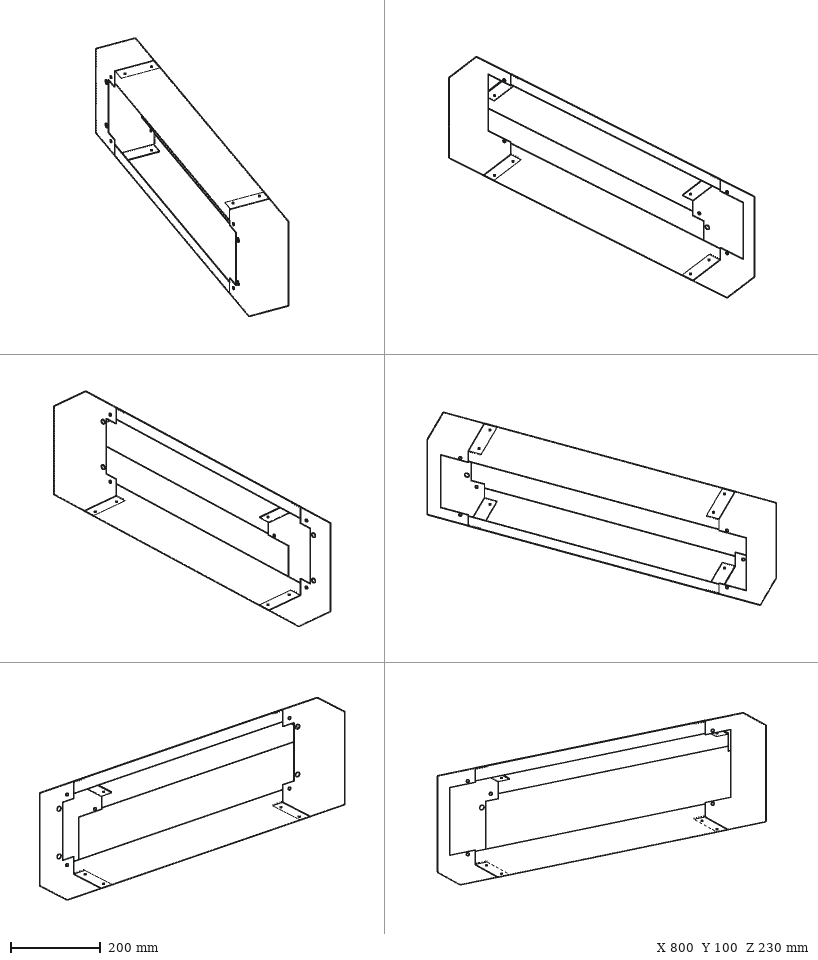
import cadquery as cq

LENGTH = 800.0
DEPTH = 100.0
HEIGHT = 230.0
SHEET = 2.0

END_LENGTH = 100.0
END_BEND = 3.6
FRONT_WALL_WIDTH = 68.0
FRONT_ARM_HEIGHT = 44.0
BACK_WALL_WIDTH = 34.0
BACK_ARM_HEIGHT = 35.0
ARM_HOLE_DIAMETER = 7.0
ARM_HOLE_FROM_END = 81.0
ARM_HOLE_FROM_EDGE = 29.0
WALL_HOLE_DIAMETER = 11.0
WALL_HOLE_FROM_END = 58.0
WALL_HOLE_FROM_EDGE = 57.0

RAIL_FLANGE = 32.0
RAIL_BEND = 2.8

SPLICE_THICKNESS = 2.0
SPLICE_FROM_END = 130.0
SPLICE_HOLE_DIAMETER = 5.0
SPLICE_HOLE_FROM_END = 119.0
SPLICE_HOLE_SPACING = 65.0

SIDES = (-1, 1)
half_length = LENGTH / 2
half_height = HEIGHT / 2
seam_x = half_length - END_LENGTH
inner_depth = DEPTH - 2 * SHEET


def box_between(x_range, y_range, z_range):
    """A block given by its lower and upper limits along each axis."""
    low, high = zip(x_range, y_range, z_range)
    sizes = [b - a for a, b in zip(low, high)]
    return cq.Workplane("XY").box(*sizes, centered=False).translate(low)


def about_zero(size):
    return (-size / 2, size / 2)


def mirrored_to(body, x_side, z_side):
    """Move a body built on the +X, +Z side to the chosen sides."""
    if x_side < 0:
        body = body.mirror("YZ")
    if z_side < 0:
        body = body.mirror("XY")
    return body


def end_window(wall_width, arm_height, y_range):
    """The opening in one large face of the end box, open towards the middle of the frame."""
    return box_between((seam_x, half_length - wall_width), y_range, about_zero(HEIGHT - 2 * arm_height))


def end_hole_pair(from_end, from_edge, diameter):
    """Two holes through both large faces, one near the top and one near the bottom."""
    x = half_length - from_end
    centres = [(x, side * (half_height - from_edge)) for side in SIDES]
    return cq.Workplane("XZ").pushPoints(centres).circle(diameter / 2).extrude(DEPTH, both=True)


def make_end_box(x_side):
    box = box_between((seam_x, half_length), about_zero(DEPTH), about_zero(HEIGHT))
    box = box.edges(">X or |X").fillet(END_BEND)
    inner_height = HEIGHT - 2 * SHEET
    cavity = box_between((seam_x, half_length - SHEET), about_zero(inner_depth), about_zero(inner_height))
    cavity = cavity.edges(">X or |X").fillet(END_BEND - SHEET)
    box = box.cut(cavity)
    box = box.cut(end_window(FRONT_WALL_WIDTH, FRONT_ARM_HEIGHT, (-DEPTH / 2, 0)))
    box = box.cut(end_window(BACK_WALL_WIDTH, BACK_ARM_HEIGHT, (0, DEPTH / 2)))
    box = box.cut(end_hole_pair(ARM_HOLE_FROM_END, ARM_HOLE_FROM_EDGE, ARM_HOLE_DIAMETER))
    box = box.cut(end_hole_pair(WALL_HOLE_FROM_END, WALL_HOLE_FROM_EDGE, WALL_HOLE_DIAMETER))
    return mirrored_to(box, x_side, 1)


def splice_holes(x_sides):
    """Vertical holes shared by a rail and its splice plates."""
    x = half_length - SPLICE_HOLE_FROM_END
    centres = [(x_side * x, y) for x_side in x_sides for y in about_zero(SPLICE_HOLE_SPACING)]
    return cq.Workplane("XY").pushPoints(centres).circle(SPLICE_HOLE_DIAMETER / 2).extrude(HEIGHT)


def make_rail(z_side):
    """A channel with its web outwards and its flanges towards the middle of the frame."""
    flange_end = half_height - RAIL_FLANGE
    rail = box_between((-seam_x, seam_x), about_zero(DEPTH), (flange_end, half_height))
    rail = rail.edges("|X and >Z").fillet(RAIL_BEND)
    cavity = box_between((-seam_x, seam_x), about_zero(inner_depth), (flange_end, half_height - SHEET))
    cavity = cavity.edges("|X and >Z").fillet(RAIL_BEND - SHEET)
    rail = rail.cut(cavity).cut(splice_holes(SIDES))
    return mirrored_to(rail, 1, z_side)


def make_splice_plate(x_side, z_side):
    """A flat plate against the inside of the rail web, from its free edge to the seam."""
    outer_face = half_height - SHEET
    flat_width = DEPTH - 2 * RAIL_BEND
    plate = box_between(
        (half_length - SPLICE_FROM_END, seam_x),
        about_zero(flat_width),
        (outer_face - SPLICE_THICKNESS, outer_face),
    )
    plate = plate.cut(splice_holes((1,)))
    return mirrored_to(plate, x_side, z_side)


end_boxes = [make_end_box(x_side).val() for x_side in SIDES]
rails = [make_rail(z_side).val() for z_side in SIDES]
splice_plates = [make_splice_plate(x_side, z_side).val() for x_side in SIDES for z_side in SIDES]

result = cq.Compound.makeCompound([*end_boxes, *rails, *splice_plates])